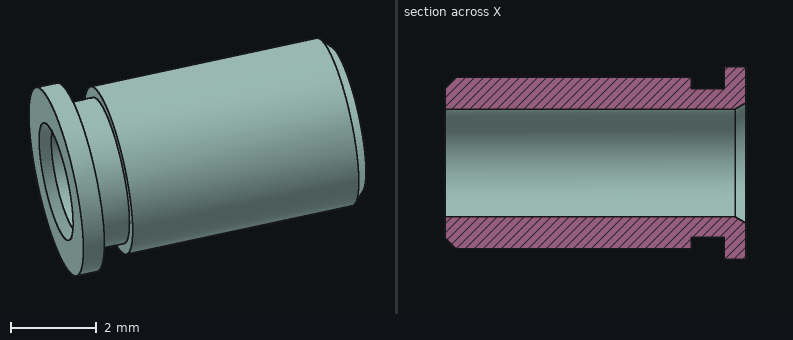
import cadquery as cq

length = 7.01
flange_diameter = 4.5
flange_thickness = 0.51
groove_diameter = 3.485
groove_width = 0.76
body_diameter = 4.0
tip_chamfer = 0.25
bore_diameter = 2.5
bore_mouth_diameter = 2.8
bore_mouth_depth = 0.25

body_start = flange_thickness + groove_width
body_length = length - body_start


def cylinder(diameter, start, depth):
    """Solid cylinder on the Y axis, running from start toward +Y."""
    plane = cq.Plane(origin=(0, start, 0), xDir=(1, 0, 0), normal=(0, 1, 0))
    return cq.Workplane(plane).circle(diameter / 2).extrude(depth)


flange = cylinder(flange_diameter, 0, flange_thickness)
neck = cylinder(groove_diameter, flange_thickness, groove_width)
body = cylinder(body_diameter, body_start, body_length).faces(">Y").chamfer(tip_chamfer)

bore = cylinder(bore_diameter, 0, length)
mouth_profile = [
    (0, 0),
    (bore_mouth_diameter / 2, 0),
    (bore_diameter / 2, bore_mouth_depth),
    (0, bore_mouth_depth),
]
bore_mouth = cq.Workplane("XY").polyline(mouth_profile).close().revolve(360, (0, 0), (0, 1))

result = flange.union(neck).union(body).cut(bore).cut(bore_mouth)